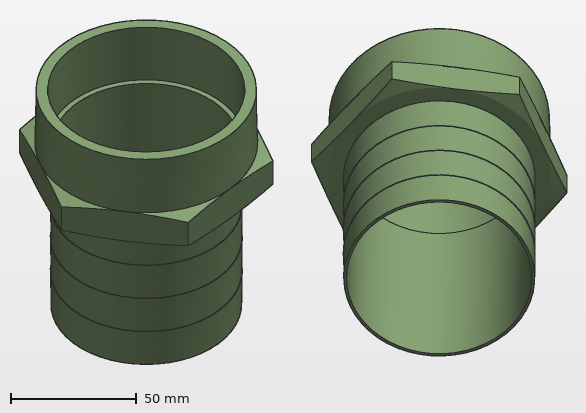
import cadquery as cq
import math

total_height = 110
hex_bottom = 68.0
hex_height = 15.1
hex_top = hex_bottom + hex_height

across_flats = 88.9
across_corners = across_flats / math.cos(math.pi / 6)
chamfer_angle = math.radians(13)

spigot_base_radius = 44.3
spigot_top_radius = 43.8

band_count = 4
band_height = hex_bottom / band_count
band_wide_radius = 38.2
band_narrow_radius = 37.9

upper_bore_radius = 39.2
lower_bore_radius = 36.8


def make_cone(bottom_radius, top_radius, bottom, height):
    """Solid truncated cone standing on the Z axis."""
    cone = cq.Solid.makeCone(bottom_radius, top_radius, height, cq.Vector(0, 0, bottom))
    return cq.Workplane(obj=cone)


def make_collar():
    """Hexagon with two corners on the Y axis, chamfered at both ends."""
    prism = (
        cq.Workplane("XY")
        .workplane(offset=hex_bottom)
        .polygon(6, across_corners)
        .extrude(hex_height)
        .rotate((0, 0, 0), (0, 0, 1), 30)
    )
    face_radius = across_flats / 2
    corner_radius = across_corners / 2
    corner_drop = (corner_radius - face_radius) * math.tan(chamfer_angle)
    envelope = (
        cq.Workplane("XZ")
        .moveTo(0, hex_bottom)
        .lineTo(face_radius, hex_bottom)
        .lineTo(corner_radius, hex_bottom + corner_drop)
        .lineTo(corner_radius, hex_top - corner_drop)
        .lineTo(face_radius, hex_top)
        .lineTo(0, hex_top)
        .close()
        .revolve(360, (0, 0, 0), (0, 1, 0))
    )
    return prism.intersect(envelope)


def make_hose_tail():
    """Stack of identical tapered bands below the collar."""
    tail = make_cone(band_narrow_radius, band_wide_radius, 0, band_height)
    for index in range(1, band_count):
        band = make_cone(band_narrow_radius, band_wide_radius, index * band_height, band_height)
        tail = tail.union(band)
    return tail


def make_bore():
    """Through bore, wider from the collar top upwards."""
    lower = cq.Workplane("XY").circle(lower_bore_radius).extrude(total_height)
    upper = (
        cq.Workplane("XY")
        .workplane(offset=hex_top)
        .circle(upper_bore_radius)
        .extrude(total_height - hex_top)
    )
    return lower.union(upper)


spigot = make_cone(spigot_base_radius, spigot_top_radius, hex_top, total_height - hex_top)
result = make_collar().union(spigot).union(make_hose_tail()).cut(make_bore())